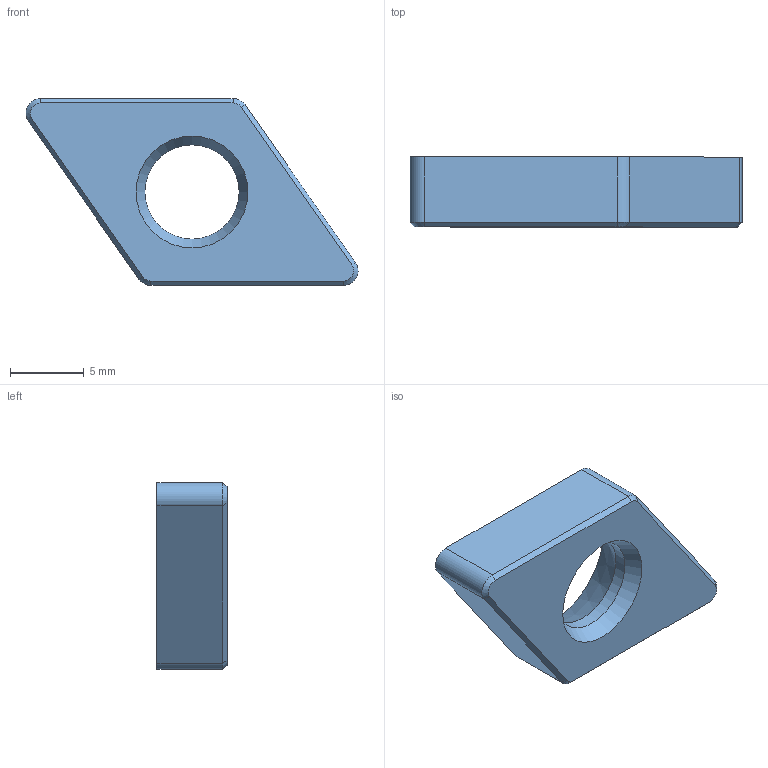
import cadquery as cq
import math

inscribed_diameter = 12.7
acute_angle = 55.0
thickness = 4.76
corner_radius = 1.0
edge_chamfer = 0.3
hole_diameter = 6.4
front_cone_diameter = 7.6
back_cone_diameter = 9.7
cone_half_angle = 30.0

acute_radians = math.radians(acute_angle)
side_length = inscribed_diameter / math.sin(acute_radians)
half_height = inscribed_diameter / 2
acute_x = side_length * (1 + math.cos(acute_radians)) / 2
obtuse_x = side_length * (1 - math.cos(acute_radians)) / 2


def rhombus_plate():
    """Plate from Y = 0 to Y = thickness with rounded corners and a chamfered front rim."""
    corners = [
        (-acute_x, half_height),
        (obtuse_x, half_height),
        (acute_x, -half_height),
        (-obtuse_x, -half_height),
    ]
    plate = cq.Workplane("XZ").polyline(corners).close().extrude(-thickness)
    plate = plate.edges("|Y").fillet(corner_radius)
    return plate.faces("<Y").chamfer(edge_chamfer)


def cone_depth(opening_diameter):
    """Axial length of a cone narrowing from its opening to the hole diameter."""
    return (opening_diameter - hole_diameter) / 2 / math.tan(math.radians(cone_half_angle))


def double_cone_hole():
    """Cutting body along Y: front cone, straight throat, then a cone widening to the back."""
    hole_radius = hole_diameter / 2
    half_section = [
        (0, 0),
        (front_cone_diameter / 2, 0),
        (hole_radius, cone_depth(front_cone_diameter)),
        (hole_radius, thickness - cone_depth(back_cone_diameter)),
        (back_cone_diameter / 2, thickness),
        (0, thickness),
    ]
    return cq.Workplane("XY").polyline(half_section).close().revolve(360, (0, 0, 0), (0, 1, 0))


result = rhombus_plate().cut(double_cone_hole())